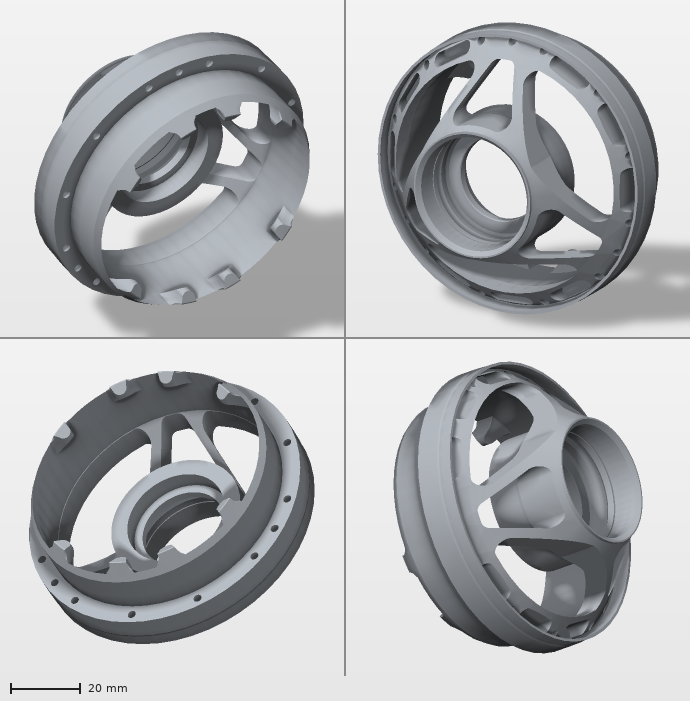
import cadquery as cq
import math


cone_start = 1.0
lip_face = 22.5
band_edge = 26.4
band_step = 27.1
flange_back = 34.0
chamfer_start = 46.2
rear_face = 48.6
lug_end = 51.4
hub_end = 25.6

nose_radius = 37.5 / 2
flange_radius = 84 / 2
band_radius = 83.6 / 2
lip_inner_radius = 82.0 / 2
lip_root_radius = 40.3
barrel_radius = 73.0 / 2
barrel_bore_radius = 70.3 / 2
window_rim_radius = 35.0
hub_radius = 40.0 / 2

cone_slope = math.tan(math.radians(39.6))
hub_fillet_radius = 2.0
hub_fillet_x = 16.0
barrel_chamfer_slope = 0.61

mouth_radius = 36.5 / 2
seat_radius = 34.0 / 2
relief_start = 8.6
relief_end = 9.1
relief_depth = 0.3
groove_start = 11.2
groove_end = 13.95
groove_depth = 1.0
wall_front = 17.3
wall_corner = 0.75
hole_chamfer = 0.25
wall_back = 20.1
wall_hole_radius = 25.0 / 2
rear_bore_radius = 30.0 / 2

window_count = 3
spoke_angle = 25.0
large_window_apex = 20.2
large_window_tilt = 180 / (2 * window_count) - spoke_angle
large_window_corner = 2.5
spoke_width = 2.5
small_window_floor = 20.15
small_window_corner = 2.5

slot_center_radius = 38.0
slot_length = 13.2
slot_width = 3.5
slot_floor = 31.5
slot_angles = [angle for angle in range(0, 360, 30) if angle % 120 != 0]
hole_diameter = 2.4
hole_circle_radius = 39.3
hole_angles = [0, 120, 240] + list(range(15, 360, 30))

lug_lean_angles = [13, 50.5]
lug_tip_radius = 30.1
lug_tip_round = 1.0
lug_tip_width = 3.9
lug_crest_width = 5.4
lug_root_width = 10.1
flank_axial_rise = 0.8
flank_radial_rise = 1.3
flank_inset = 1.7
lug_root_start = 42.8
lug_inner_radius = 29.4
lug_inner_start = 48.6
lug_inner_end = 49.3
lug_crest_radius = 32.9
clearance = 0.8


def turned(profile):
    """Solid of revolution of an (x, radius) outline about the X axis."""
    return profile.close().revolve(360, (0, 0, 0), (1, 0, 0))


def prism(outline, start, end):
    """Extrude a wire drawn on the YZ plane between two X stations."""
    return outline.extrude(end - start).translate((start, 0, 0))


def spun(solid, angle):
    """Turn a solid about the hub axis."""
    return solid.rotate((0, 0, 0), (1, 0, 0), angle)


def cone_x(radius):
    """Axial station of the outer cone at a given radius."""
    return cone_start + (radius - nose_radius) / cone_slope


def make_body():
    """Turned shell: dome, flange, barrel, inner hub and the ring the lugs are cut from."""
    cone_angle = math.atan(cone_slope)
    fillet_center_radius = hub_radius + hub_fillet_radius
    tangent_x = hub_fillet_x - hub_fillet_radius * math.sin(cone_angle)
    tangent_radius = fillet_center_radius + hub_fillet_radius * math.cos(cone_angle)
    cavity_x = tangent_x + (barrel_bore_radius - tangent_radius) / cone_slope
    chamfer_drop = (lug_end - chamfer_start) * barrel_chamfer_slope
    mouth_depth = mouth_radius - seat_radius
    return turned(
        cq.Workplane("XY")
        .moveTo(0, mouth_radius)
        .lineTo(0, nose_radius)
        .lineTo(cone_start, nose_radius)
        .lineTo(cone_x(lip_root_radius), lip_root_radius)
        .lineTo(cone_x(lip_root_radius), lip_inner_radius)
        .lineTo(lip_face, lip_inner_radius)
        .lineTo(lip_face, band_radius)
        .lineTo(band_edge, band_radius)
        .lineTo(band_step, flange_radius)
        .lineTo(flange_back, flange_radius)
        .lineTo(flange_back, barrel_radius)
        .lineTo(chamfer_start, barrel_radius)
        .lineTo(lug_end, barrel_radius - chamfer_drop)
        .lineTo(lug_end, lug_crest_radius)
        .lineTo(lug_inner_end, lug_inner_radius)
        .lineTo(lug_inner_start, lug_inner_radius)
        .lineTo(lug_root_start, barrel_bore_radius)
        .lineTo(cavity_x, barrel_bore_radius)
        .lineTo(tangent_x, tangent_radius)
        .threePointArc(
            (hub_fillet_x - hub_fillet_radius, fillet_center_radius),
            (hub_fillet_x, hub_radius),
        )
        .lineTo(hub_end, hub_radius)
        .lineTo(hub_end, rear_bore_radius)
        .lineTo(wall_back, rear_bore_radius)
        .lineTo(wall_back, wall_hole_radius)
        .lineTo(wall_front + hole_chamfer, wall_hole_radius)
        .lineTo(wall_front, wall_hole_radius + hole_chamfer)
        .lineTo(wall_front, seat_radius - wall_corner)
        .lineTo(wall_front - wall_corner, seat_radius)
        .lineTo(groove_end, seat_radius)
        .lineTo(groove_end - groove_depth, seat_radius + groove_depth)
        .lineTo(groove_start + groove_depth, seat_radius + groove_depth)
        .lineTo(groove_start, seat_radius)
        .lineTo(relief_end, seat_radius)
        .lineTo(relief_end, seat_radius + relief_depth)
        .lineTo(relief_start, seat_radius + relief_depth)
        .lineTo(relief_start, seat_radius)
        .lineTo(mouth_depth, seat_radius)
    )


def make_large_window():
    """Window below the hub: two edges meeting at an apex, closed by the rim circle."""
    reach = flange_radius
    edge_drop = reach * math.tan(math.radians(large_window_tilt))
    wedge = prism(
        cq.Workplane("YZ").polyline([
            (0, -large_window_apex),
            (reach, -large_window_apex - edge_drop),
            (reach, -reach),
            (-reach, -reach),
            (-reach, -large_window_apex - edge_drop),
        ]).close(),
        0, flange_back,
    )
    window = wedge.intersect(prism(cq.Workplane("YZ").circle(window_rim_radius), 0, flange_back))
    return window.edges("|X").edges("not(>Z)").fillet(large_window_corner)


def make_small_window():
    """Window above the hub, between two edges parallel to those of the large windows."""
    slant = math.radians(spoke_angle)
    edge_distance = large_window_apex * math.cos(math.radians(large_window_tilt)) - spoke_width
    peak = edge_distance / math.sin(slant)
    half_base = edge_distance / math.cos(slant)
    triangle = prism(
        cq.Workplane("YZ").polyline([(0, peak), (half_base, 0), (-half_base, 0)]).close(),
        0, flange_back,
    )
    ring = prism(cq.Workplane("YZ").circle(window_rim_radius).circle(small_window_floor), 0, flange_back)
    return triangle.intersect(ring).edges("|X").fillet(small_window_corner)


def make_slot():
    """Blind slot in the flange, at the top of the part."""
    outline = cq.Workplane("YZ").center(0, slot_center_radius).slot2D(slot_length, slot_width)
    return prism(outline, cone_start, slot_floor)


def make_hole():
    """Hole through the flange, at the top of the part."""
    outline = cq.Workplane("YZ").center(0, hole_circle_radius).circle(hole_diameter / 2)
    return prism(outline, cone_start, flange_back)


def make_lug_envelope():
    """Outline of the lug at the top of the barrel, with hollow flanks along the axis and towards the hub."""
    half_root = lug_root_width / 2
    half_crest = lug_crest_width / 2
    half_tip = lug_tip_width / 2
    half_flank = half_root - flank_inset
    front = lug_root_start - 2 * clearance
    back = lug_end + 2 * clearance
    flank_x = rear_face + flank_axial_rise
    flank_radius = barrel_bore_radius - flank_radial_rise
    shoulder_radius = lug_tip_radius + lug_tip_round
    side = (
        cq.Workplane("XY", origin=(0, 0, lug_inner_radius - 2 * clearance))
        .moveTo(front, -half_root)
        .lineTo(rear_face, -half_root)
        .threePointArc((flank_x, -half_flank), (lug_end, -half_crest))
        .lineTo(back, -half_crest)
        .lineTo(back, half_crest)
        .lineTo(lug_end, half_crest)
        .threePointArc((flank_x, half_flank), (rear_face, half_root))
        .lineTo(front, half_root)
        .close()
        .extrude(flange_radius)
    )
    plan = prism(
        cq.Workplane("YZ")
        .moveTo(-half_root, flange_radius)
        .lineTo(-half_root, barrel_bore_radius)
        .threePointArc((-half_flank, flank_radius), (-half_tip, shoulder_radius))
        .threePointArc((0, lug_tip_radius), (half_tip, shoulder_radius))
        .threePointArc((half_flank, flank_radius), (half_root, barrel_bore_radius))
        .lineTo(half_root, flange_radius)
        .close(),
        front, back,
    )
    return side.intersect(plan)


def make_lug_gaps():
    """Material between the lugs, taken out of the ring they are cut from."""
    gaps = turned(
        cq.Workplane("XY")
        .moveTo(lug_root_start - clearance, lug_inner_radius - clearance)
        .lineTo(lug_end + clearance, lug_inner_radius - clearance)
        .lineTo(lug_end + clearance, barrel_radius)
        .lineTo(rear_face, barrel_radius)
        .lineTo(rear_face, barrel_bore_radius)
        .lineTo(lug_root_start, barrel_bore_radius)
    )
    for lean in lug_lean_angles:
        for angle in (lean, -lean, 180 - lean, 180 + lean):
            gaps = gaps.cut(spun(make_lug_envelope(), angle))
    return gaps


result = make_body()
for i in range(window_count):
    turn = i * 360 / window_count
    result = result.cut(spun(make_large_window(), turn))
    result = result.cut(spun(make_small_window(), turn))
for angle in slot_angles:
    result = result.cut(spun(make_slot(), angle))
for angle in hole_angles:
    result = result.cut(spun(make_hole(), angle))
result = result.cut(make_lug_gaps())